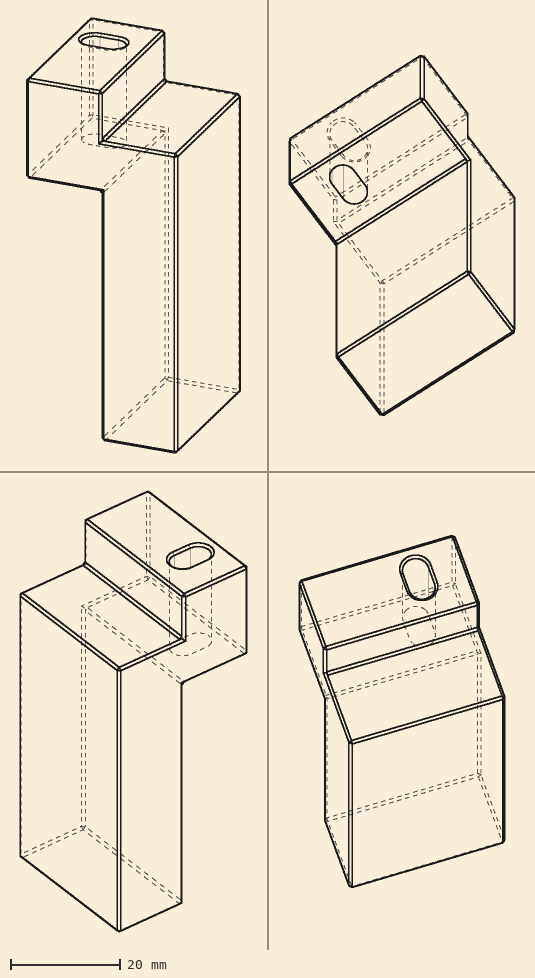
import cadquery as cq
import math

height = 70.05
width = 30.0
depth = 30.0

leg_thickness = 15.0
head_height = 20.0
shoulder_drop = 10.0
edge_chamfer = 0.5

slot_length = 8.5
slot_width = 4.8
slot_center_x = 6.5
slot_center_y = 21.0
slot_chamfer = 0.5

step_x = width - leg_thickness
head_bottom = height - head_height
shoulder_z = height - shoulder_drop


def make_body():
    """Z-shaped profile extruded along Y, with every outer edge chamfered."""
    profile = [
        (0, height),
        (step_x, height),
        (step_x, shoulder_z),
        (width, shoulder_z),
        (width, 0),
        (step_x, 0),
        (step_x, head_bottom),
        (0, head_bottom),
    ]
    body = cq.Workplane("XZ").polyline(profile).close().extrude(-depth)
    corner_xz = [(step_x, shoulder_z), (step_x, head_bottom)]

    def is_outer(edge):
        middle = edge.Center()
        return all(math.hypot(middle.x - x, middle.z - z) > edge_chamfer for x, z in corner_xz)

    return body.edges().filter(is_outer).chamfer(edge_chamfer)


def make_corner_fill(z, x_side):
    """Triangular bar that fills an inside corner, ending at the face chamfers."""
    corner = [
        (step_x, z),
        (step_x + x_side * edge_chamfer, z),
        (step_x, z + x_side * edge_chamfer),
    ]
    return (
        cq.Workplane("XZ", origin=(0, edge_chamfer, 0))
        .polyline(corner)
        .close()
        .extrude(-(depth - 2 * edge_chamfer))
    )


def make_slot_cutter():
    """Obround through-slot with a flared rim at the top of the head."""
    slot = (
        cq.Workplane("XY", origin=(slot_center_x, slot_center_y, head_bottom))
        .slot2D(slot_length, slot_width)
        .extrude(head_height)
    )
    rim = (
        cq.Workplane("XY", origin=(slot_center_x, slot_center_y, height))
        .slot2D(slot_length + 2 * slot_chamfer, slot_width + 2 * slot_chamfer)
        .extrude(-slot_chamfer, taper=45)
    )
    return slot.union(rim)


body = make_body()
body = body.union(make_corner_fill(shoulder_z, 1))
body = body.union(make_corner_fill(head_bottom, -1))
result = body.cut(make_slot_cutter())